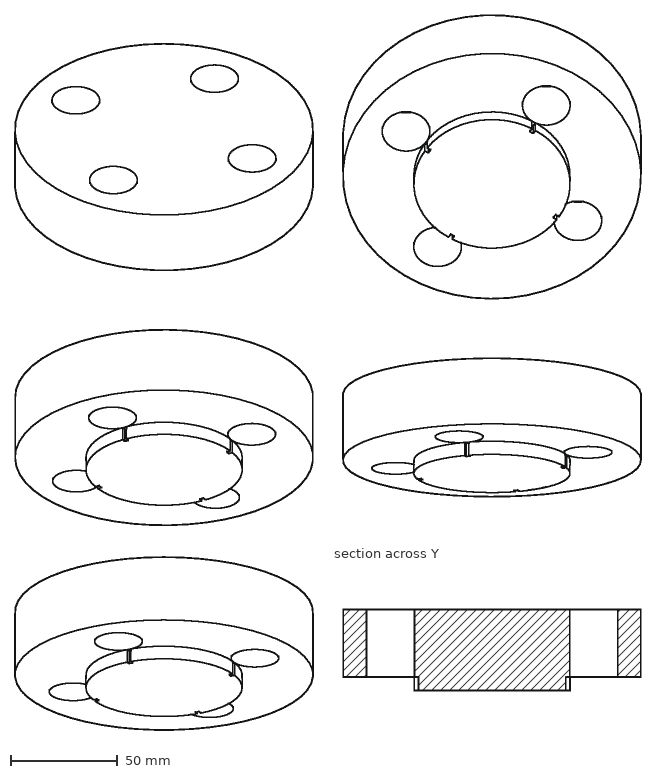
import cadquery as cq

flange_diameter = 139.7
flange_thickness = 31.75

raised_face_diameter = 73.2
raised_face_height = 6.35

bolt_circle_diameter = 95.25
bolt_hole_diameter = 22.35
bolt_hole_count = 4

notch_width = 2.0
notch_depth = 2.0
notch_count = 4


def flange_disc():
    """Plain disc with its underside at Z = 0."""
    return cq.Workplane("XY").circle(flange_diameter / 2).extrude(flange_thickness)


def raised_face():
    """Round sealing face projecting downward from the disc."""
    return cq.Workplane("XY").circle(raised_face_diameter / 2).extrude(-raised_face_height)


def bolt_holes():
    """Through-hole cutters spaced evenly on the bolt circle."""
    return (
        cq.Workplane("XY")
        .polarArray(bolt_circle_diameter / 2, 0, 360, bolt_hole_count)
        .circle(bolt_hole_diameter / 2)
        .extrude(flange_thickness)
    )


def rim_notches():
    """Flat-bottomed notch cutters entering the raised face from its rim, one on each half axis."""
    return (
        cq.Workplane("XY")
        .polarArray(raised_face_diameter / 2, 0, 360, notch_count)
        .rect(2 * notch_depth, notch_width)
        .extrude(-raised_face_height)
    )


notched_raised_face = raised_face().cut(rim_notches())
result = flange_disc().union(notched_raised_face).cut(bolt_holes())